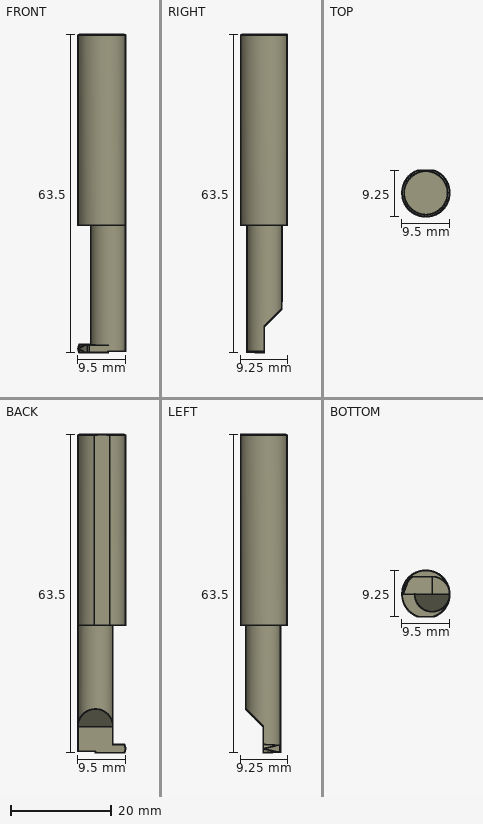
import cadquery as cq

total_length = 63.5
shank_radius = 4.75
shank_bottom = 25.4
flat_distance = 4.5
end_chamfer_height = 0.25
end_chamfer_width = 0.45

neck_radius = 3.5
neck_x = shank_radius - neck_radius
neck_bottom = 0.3
cut_start = 5.25

head_top = 1.7
head_back_drop = 0.2
tip_x = -shank_radius
relief_middle = (-4.05, -1.8)
relief_end = (-2.9, -3.3)
back_corner_x = -2.5

facet_width = 0.25
facet_back_y = -2.9
facet_back_x = -3.25
facet_overrun = 2.0


def make_shank():
    length = total_length - shank_bottom
    bar = cq.Workplane("XY").workplane(offset=shank_bottom).circle(shank_radius).extrude(length)
    bar = bar.faces(">Z").edges().chamfer(end_chamfer_height, end_chamfer_width)
    envelope = cq.Workplane("XY").box(
        2 * shank_radius, shank_radius + flat_distance, total_length, centered=(True, False, False)
    )
    return bar.intersect(envelope.translate((0, -shank_radius, 0)))


def make_neck():
    bar = cq.Workplane("XY").workplane(offset=neck_bottom).center(neck_x, 0).circle(neck_radius)
    bar = bar.extrude(shank_bottom - neck_bottom)
    cut_depth = 2 * neck_radius
    run_out = (
        cq.Workplane("YZ")
        .polyline([(0, 0), (0, cut_start), (cut_depth, cut_start + cut_depth), (cut_depth, 0)])
        .close()
        .extrude(shank_radius, both=True)
    )
    return bar.cut(run_out)


def make_tip_facet(side):
    """Oblique wedge removed from the upper (side = 1) or lower (side = -1) tip flank."""
    half_height = head_top / 2
    back_half_height = half_height - head_back_drop
    outer_x = tip_x - facet_width
    reach_x = tip_x + facet_overrun * facet_width
    reach_z = facet_overrun * half_height
    shift_x = facet_back_x - (tip_x + facet_width * back_half_height / half_height)
    front = [(tip_x, 0), (reach_x, reach_z), (outer_x, reach_z), (outer_x, 0)]
    wedge = cq.Workplane("XZ").polyline([(x, half_height + side * z) for x, z in front]).close()
    wedge = wedge.workplane(offset=-facet_back_y)
    back = [
        (tip_x + shift_x, back_half_height),
        (reach_x + shift_x, reach_z + back_half_height),
        (outer_x + shift_x, reach_z + back_half_height),
        (outer_x + shift_x, back_half_height),
    ]
    return wedge.polyline([(x, half_height + side * z) for x, z in back]).close().loft(ruled=True)


def make_head():
    plan = (
        cq.Workplane("XY")
        .moveTo(tip_x, 0)
        .threePointArc(relief_middle, relief_end)
        .lineTo(back_corner_x, -neck_radius)
        .lineTo(neck_x, -neck_radius)
        .lineTo(neck_x, 0)
        .close()
        .extrude(head_top)
    )
    side_taper = (
        cq.Workplane("YZ")
        .polyline([
            (0, 0),
            (0, head_top),
            (-neck_radius, head_top - head_back_drop),
            (-neck_radius, head_back_drop),
        ])
        .close()
        .extrude(shank_radius, both=True)
    )
    head = plan.intersect(side_taper)
    for side in (1, -1):
        head = head.cut(make_tip_facet(side))
    return head


result = make_shank().union(make_neck()).union(make_head())